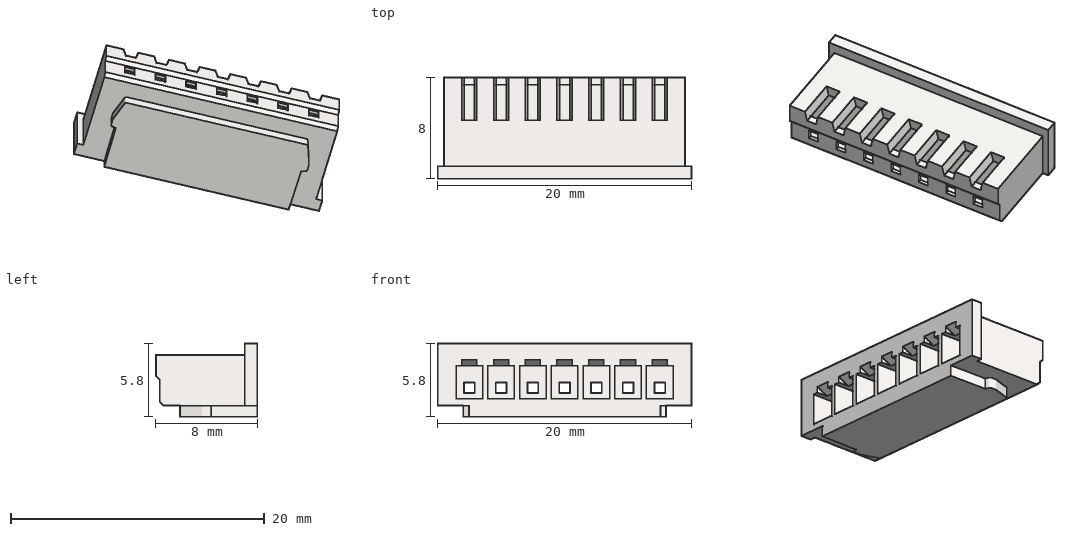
import cadquery as cq
import math

contact_count = 7
pitch = 2.5
contact_xs = [(i - (contact_count - 1) / 2) * pitch for i in range(contact_count)]

flange_width = 20.0
flange_thickness = 1.0
flange_height = 4.9

body_width = 19.0
body_height = 4.0
depth = 8.0
rear_step = 0.3
step_top = 2.35

cavity_width = 2.1
cavity_floor = 0.52
cavity_ceiling = 3.12
rear_wall = 0.6
cavity_end = depth - rear_wall
pin_hole_size = 0.82
pin_hole_center_z = 1.4

keyway_width = 1.2
keyway_top = 3.62
keyway_length = flange_thickness

slot_top_width = 1.2
slot_bottom_width = 0.8
slot_length = 3.38

tongue_height = 0.9
tongue_length = 6.1
tongue_front_half_width = 7.52
tongue_neck_half_width = 7.55
tongue_wide_half_width = 8.0
tongue_neck_end = 3.62
tongue_taper_start = 4.38
tongue_angle = math.radians(18)
tongue_corner_radius = 0.2


def box(width, y_start, y_end, z_start, z_end, x_center=0.0):
    """Box centred on x_center, spanning the given Y and Z ranges."""
    return (
        cq.Workplane("XY")
        .box(width, y_end - y_start, z_end - z_start, centered=(True, False, False))
        .translate((x_center, y_start, z_start))
    )


def prism_along_x(points_yz, width, x_center=0.0):
    """Y-Z outline extruded along X, centred on x_center."""
    return (
        cq.Workplane("YZ")
        .polyline(points_yz)
        .close()
        .extrude(width / 2, both=True)
        .translate((x_center, 0, 0))
    )


def housing_body():
    lower_rear = depth - rear_step
    profile = [
        (0, 0),
        (lower_rear - rear_step, 0),
        (lower_rear, rear_step),
        (lower_rear, step_top - rear_step),
        (depth, step_top),
        (depth, body_height),
        (0, body_height),
    ]
    return prism_along_x(profile, body_width)


def tongue():
    slope = math.tan(tongue_angle)
    shoulder_y = tongue_neck_end + (tongue_wide_half_width - tongue_neck_half_width) * slope
    rear_half_width = tongue_wide_half_width - (tongue_length - tongue_taper_start) * slope
    right_side = [
        (tongue_front_half_width, 0),
        (tongue_neck_half_width, tongue_neck_end),
        (tongue_wide_half_width, shoulder_y),
        (tongue_wide_half_width, tongue_taper_start),
        (rear_half_width, tongue_length),
    ]
    left_side = [(-x, y) for x, y in reversed(right_side)]
    solid = cq.Workplane("XY").polyline(right_side + left_side).close().extrude(-tongue_height)
    rounded_zone = cq.selectors.BoxSelector(
        (-flange_width, tongue_neck_end + tongue_corner_radius / 2, -tongue_height),
        (flange_width, depth, 0),
    )
    return solid.edges("|Z").edges(rounded_zone).fillet(tongue_corner_radius)


def contact_cavity(x):
    cavity = box(cavity_width, 0, cavity_end, cavity_floor, cavity_ceiling, x)
    half_hole = pin_hole_size / 2
    pin_hole = box(
        pin_hole_size, 0, depth, pin_hole_center_z - half_hole, pin_hole_center_z + half_hole, x
    )
    keyway_profile = [
        (0, cavity_floor),
        (keyway_length, cavity_floor),
        (keyway_length, cavity_ceiling),
        (0, keyway_top),
    ]
    keyway = prism_along_x(keyway_profile, keyway_width, x)
    return cavity.union(pin_hole).union(keyway)


def top_slot(x):
    section = [
        (x - slot_bottom_width / 2, cavity_ceiling),
        (x + slot_bottom_width / 2, cavity_ceiling),
        (x + slot_top_width / 2, body_height),
        (x - slot_top_width / 2, body_height),
    ]
    rear_plane = cq.Workplane("XZ", origin=(0, depth, 0))
    return rear_plane.polyline(section).close().extrude(slot_length)


result = housing_body().union(box(flange_width, 0, flange_thickness, 0, flange_height)).union(tongue())
for contact_x in contact_xs:
    result = result.cut(contact_cavity(contact_x)).cut(top_slot(contact_x))